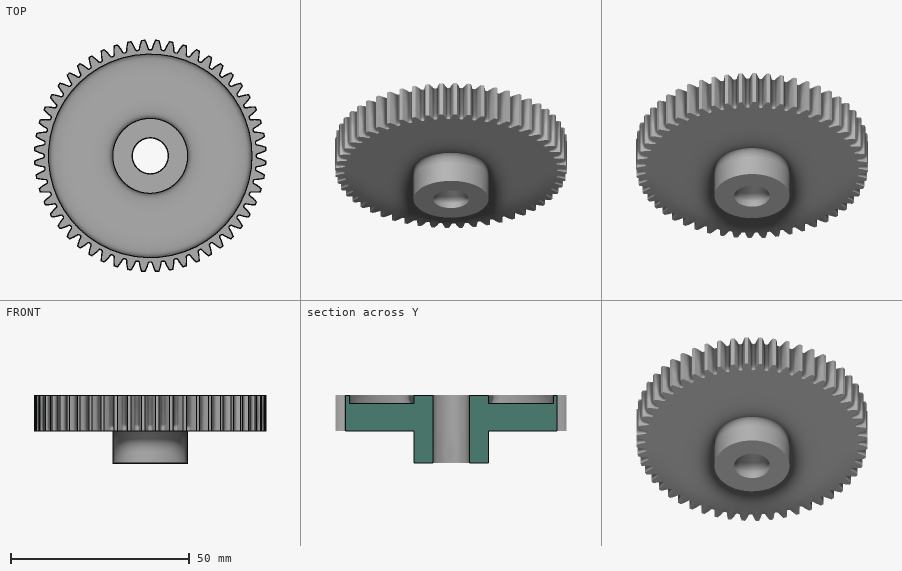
import cadquery as cq
import math

overall_width = 64.7
teeth = 52
pressure_angle = math.radians(20)
dedendum_factor = 1.25
root_fillet_factor = 0.38
rim_width = 10.05
overall_height = 19.0
hub_diameter = 21.0
bore_diameter = 10.05
recess_diameter = 56.95
recess_depth = 2.25
cutter_overrun = 0.3
flank_points = 6


def involute(angle):
    return math.tan(angle) - angle


half_pitch_angle = math.pi / teeth
gap_angle_at_base = half_pitch_angle / 2 - involute(pressure_angle)
tip_pressure_angle = math.acos(teeth * math.cos(pressure_angle) / (teeth + 2))
tip_gap_angle = gap_angle_at_base + involute(tip_pressure_angle)
tip_radius = overall_width / 2 / math.cos(tip_gap_angle)
module = 2 * tip_radius / (teeth + 2)
pitch_radius = module * teeth / 2
base_radius = pitch_radius * math.cos(pressure_angle)
root_radius = pitch_radius - dedendum_factor * module
cutter_radius = tip_radius + cutter_overrun


def flank_point(radius):
    """Point of the gap's upper flank, for a gap centred on the X axis."""
    angle = gap_angle_at_base + involute(math.acos(base_radius / radius))
    return (radius * math.cos(angle), radius * math.sin(angle))


def mirrored(point):
    return (point[0], -point[1])


def tooth_gap():
    """Cutter for the space between two teeth, with rounded root corners."""
    step = (cutter_radius - root_radius) / (flank_points - 1)
    upper = [flank_point(root_radius + i * step) for i in range(flank_points)]
    lower = [mirrored(point) for point in reversed(upper)]
    return (
        cq.Workplane("XY")
        .moveTo(*upper[0])
        .spline(upper[1:], includeCurrent=True)
        .lineTo(*lower[0])
        .spline(lower[1:], includeCurrent=True)
        .threePointArc((root_radius, 0), upper[0])
        .close()
        .extrude(rim_width)
        .edges("|Z")
        .edges("<X")
        .fillet(root_fillet_factor * module)
    )


def toothed_disc():
    disc = cq.Workplane("XY").circle(tip_radius).extrude(rim_width)
    gap = tooth_gap().val()
    gaps = [gap.rotate((0, 0, 0), (0, 0, 1), i * 360 / teeth) for i in range(teeth)]
    return cq.Workplane(disc.val().cut(*gaps))


def web_recess():
    """Ring-shaped pocket in the top face, between the rim and the hub."""
    return (
        cq.Workplane("XY")
        .workplane(offset=rim_width - recess_depth)
        .circle(recess_diameter / 2)
        .circle(hub_diameter / 2)
        .extrude(recess_depth)
    )


def cylinder_below_top(diameter):
    """Cylinder from the top face down through the full height of the part."""
    return (
        cq.Workplane("XY")
        .workplane(offset=rim_width)
        .circle(diameter / 2)
        .extrude(-overall_height)
    )


result = (
    toothed_disc()
    .cut(web_recess())
    .union(cylinder_below_top(hub_diameter))
    .cut(cylinder_below_top(bore_diameter))
)